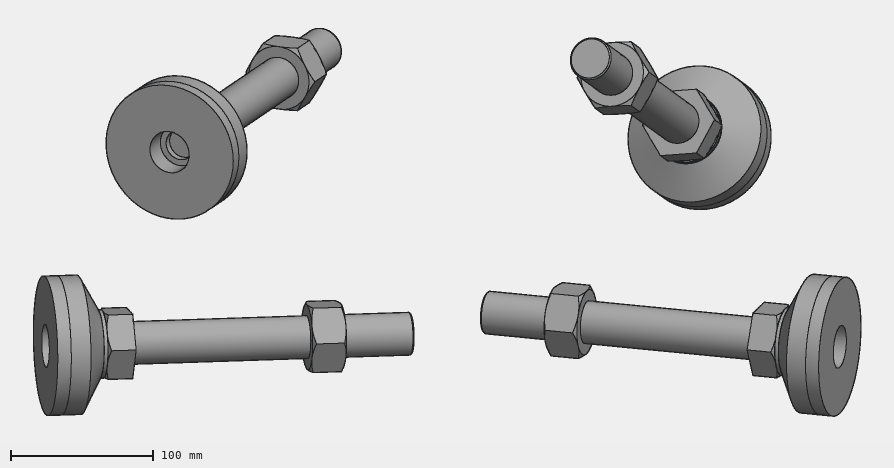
import cadquery as cq
import math

total_length = 260.0

stud_radius = 15.0
stud_chamfer = 1.0
tip_radius = 10.7

base_radius = 98.0 / 2
bore_radius = stud_radius
pad_thickness = 9.5
hub_radius = 24.2
hub_top = 17.7
rim_top = 23.7
foot_top = 37.5
cone_top_radius = 24.7

across_flats = 46.0
corner_radius = across_flats / math.sqrt(3)
chamfer_slope = math.tan(math.radians(30))
face_radius = across_flats / 2
chamfer_height = (corner_radius - face_radius) * chamfer_slope
collar_radius = 24.2
collar_height = 2.9
lower_hexagon_start = foot_top + collar_height
lower_hexagon_height = 19.5
upper_nut_start = 186.2
upper_nut_height = 24.2


def cylinder(radius, start, end):
    """Solid cylinder on the Y axis between two Y positions."""
    return cq.Workplane("XZ", origin=(0, start, 0)).circle(radius).extrude(start - end)


def revolve_about_y(points):
    """Solid of revolution from a (radius, Y) outline."""
    return cq.Workplane("XY").polyline(points).close().revolve(360, (0, 0, 0), (0, 1, 0))


def make_stud():
    shank = cylinder(stud_radius, foot_top, total_length).faces(">Y").chamfer(stud_chamfer)
    return shank.union(cylinder(tip_radius, rim_top, foot_top))


def make_pad():
    """Flat disc with a central hub, bored right through."""
    disc = cylinder(base_radius, 0, pad_thickness)
    hub = cylinder(hub_radius, pad_thickness, hub_top)
    return disc.union(hub).cut(cylinder(bore_radius, 0, hub_top))


def make_foot():
    """Conical foot with a recess for the pad hub and a hole for the stud tip."""
    return revolve_about_y([
        (hub_radius, pad_thickness),
        (base_radius, pad_thickness),
        (base_radius, rim_top),
        (cone_top_radius, foot_top),
        (tip_radius, foot_top),
        (tip_radius, hub_top),
        (hub_radius, hub_top),
    ])


def make_hexagon(start, height, chamfer_both_ends):
    """Hexagon with corners on +X and -X, its corners turned off conically."""
    end = start + height
    hexagon = (
        cq.Workplane("XZ", origin=(0, start, 0))
        .polygon(6, 2 * corner_radius)
        .extrude(-height)
    )
    envelope = [(0, start), (face_radius, start), (corner_radius, start + chamfer_height)]
    if chamfer_both_ends:
        envelope += [(corner_radius, end - chamfer_height), (face_radius, end)]
    else:
        envelope.append((corner_radius, end))
    envelope.append((0, end))
    return hexagon.intersect(revolve_about_y(envelope))


def make_lower_nut():
    hexagon = make_hexagon(lower_hexagon_start, lower_hexagon_height, False)
    collar = cylinder(collar_radius, foot_top, lower_hexagon_start)
    hole = cylinder(stud_radius, foot_top, lower_hexagon_start + lower_hexagon_height)
    return hexagon.union(collar).cut(hole)


def make_upper_nut():
    hexagon = make_hexagon(upper_nut_start, upper_nut_height, True)
    return hexagon.cut(cylinder(stud_radius, upper_nut_start, upper_nut_start + upper_nut_height))


stud = make_stud()
pad = make_pad()
foot = make_foot()
lower_nut = make_lower_nut()
upper_nut = make_upper_nut()

result = cq.Compound.makeCompound([
    stud.val(),
    pad.val(),
    foot.val(),
    lower_nut.val(),
    upper_nut.val(),
])